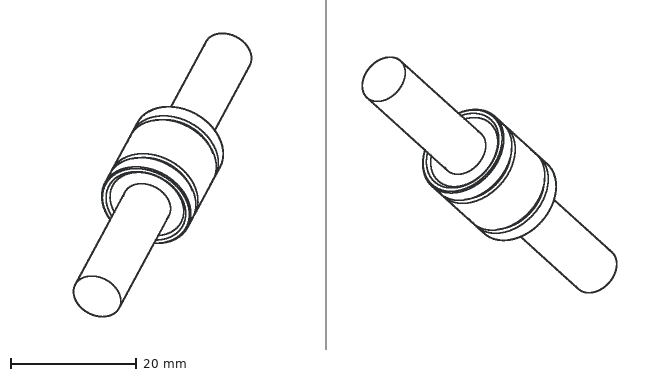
import cadquery as cq

shaft_length = 67.0
shaft_diameter = 8.0
sleeve_length = 17.0
sleeve_diameter = 15.0
edge_chamfer = 0.2

groove_diameter = 13.55
groove_inner_offset = 4.7
groove_width = 1.1

recess_mouth_diameter = 13.4
recess_floor_diameter = 12.4
recess_depth = (recess_mouth_diameter - recess_floor_diameter) / 2


def cylinder(diameter, start, length):
    """Solid cylinder along +Y, beginning at Y = start."""
    return cq.Workplane(cq.Solid.makeCylinder(
        diameter / 2, length, cq.Vector(0, start, 0), cq.Vector(0, 1, 0)))


def end_recess(side):
    """Conical recess in the sleeve face on the given side of Y = 0."""
    return cq.Workplane(cq.Solid.makeCone(
        recess_mouth_diameter / 2, recess_floor_diameter / 2, recess_depth,
        cq.Vector(0, side * sleeve_length / 2, 0), cq.Vector(0, -side, 0)))


def groove_ring(side):
    """Ring of material removed for the groove on the given side of Y = 0."""
    center = side * (groove_inner_offset + groove_width / 2)
    start = center - groove_width / 2
    outer = cylinder(sleeve_diameter, start, groove_width)
    return outer.cut(cylinder(groove_diameter, start, groove_width))


sleeve = cylinder(sleeve_diameter, -sleeve_length / 2, sleeve_length)
sleeve = sleeve.faces("<Y or >Y").edges().chamfer(edge_chamfer)
for side in (-1, 1):
    sleeve = sleeve.cut(groove_ring(side)).cut(end_recess(side))

shaft = cylinder(shaft_diameter, -shaft_length / 2, shaft_length)
result = sleeve.union(shaft)